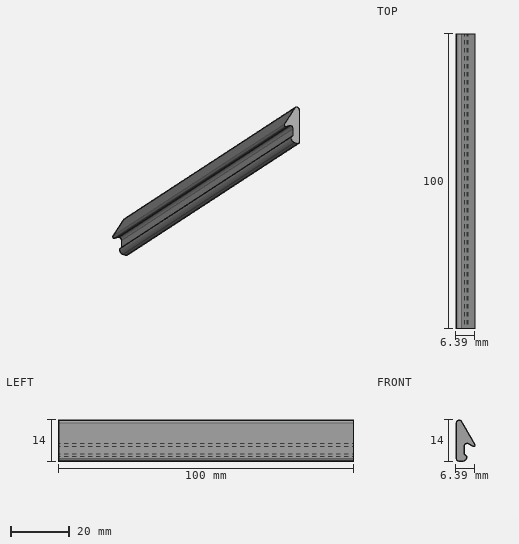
import cadquery as cq
import math

length = 100.0
height = 13.98
width = 6.39

edge_radius = 1.0
slope_angle = 60.0
tip_radius = 0.5
lip_angle = 30.0
web_thickness = 2.75
groove_top = 6.05
groove_radius = 0.9
toe_radius = 1.5
toe_center_x = 2.1
bead_height = 1.65
ramp_angle = 45.0


def on_circle(center, radius, angle):
    """Point on a circle at an angle in degrees from +X."""
    a = math.radians(angle)
    return (center[0] + radius * math.cos(a), center[1] + radius * math.sin(a))


def slope_ratio(angle):
    """Rise per unit of run of a line at an angle in degrees."""
    return math.tan(math.radians(angle))


up, left, down = 90, 180, -90
slope_normal = up - slope_angle
lip_normal = down - lip_angle

top_center = (edge_radius, height - edge_radius)
top_middle = on_circle(top_center, edge_radius, (left + slope_normal) / 2)
slope_start = on_circle(top_center, edge_radius, slope_normal)

tip_center_x = width - tip_radius
slope_end_x = on_circle((tip_center_x, 0), tip_radius, slope_normal)[0]
slope_end_z = slope_start[1] - (slope_end_x - slope_start[0]) * slope_ratio(slope_angle)
slope_end = (slope_end_x, slope_end_z)
tip_center = on_circle(slope_end, -tip_radius, slope_normal)
tip_middle = on_circle(tip_center, tip_radius, (slope_normal + lip_normal) / 2)
lip_start = on_circle(tip_center, tip_radius, lip_normal)
lip_end = (lip_start[0] - (groove_top - lip_start[1]) / slope_ratio(lip_angle), groove_top)

groove_center = (web_thickness + groove_radius, groove_top - groove_radius)
groove_middle = on_circle(groove_center, groove_radius, (up + left) / 2)

toe_center = (toe_center_x, toe_radius)
bead_angle = math.degrees(math.asin((bead_height - toe_radius) / toe_radius))
bead_edge = on_circle(toe_center, toe_radius, bead_angle)
toe_middle = on_circle(toe_center, toe_radius, (bead_angle + down) / 2)
ramp_rise = (bead_edge[0] - web_thickness) * slope_ratio(ramp_angle)
ramp_start = (web_thickness, bead_height + ramp_rise)

heel_center = (edge_radius, edge_radius)
heel_middle = on_circle(heel_center, edge_radius, (down - left) / 2)

profile = (
    cq.Workplane("XZ")
    .moveTo(0, edge_radius)
    .lineTo(0, top_center[1])
    .threePointArc(top_middle, slope_start)
    .lineTo(*slope_end)
    .threePointArc(tip_middle, lip_start)
    .lineTo(*lip_end)
    .lineTo(groove_center[0], groove_top)
    .threePointArc(groove_middle, (web_thickness, groove_center[1]))
    .lineTo(*ramp_start)
    .lineTo(*bead_edge)
    .threePointArc(toe_middle, (toe_center_x, 0))
    .lineTo(edge_radius, 0)
    .threePointArc(heel_middle, (0, edge_radius))
    .close()
)

result = profile.extrude(length)